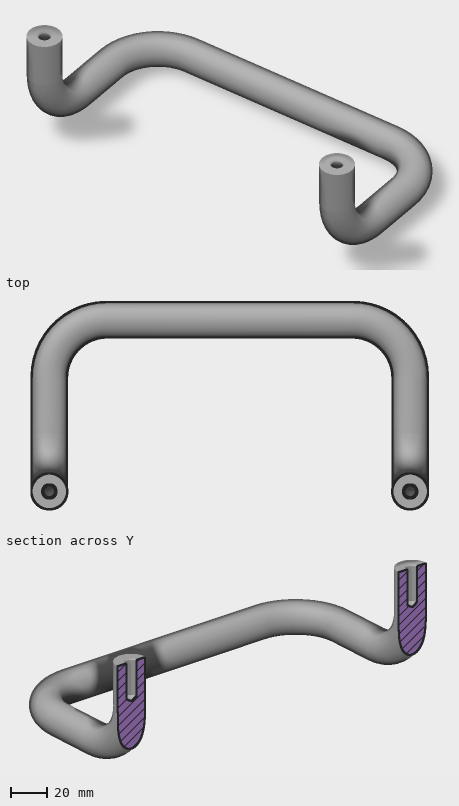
import cadquery as cq
import math

overall_width = 220.0
overall_depth = 115.0
overall_height = 68.0
rod_diameter = 19.8
foot_diameter = 20.0
bend_radius = 32.0

hole_diameter = 6.5
hole_mouth_diameter = 8.0
hole_depth = 22.0
drill_point_angle = 118.0

half_span = (overall_width - foot_diameter) / 2
grip_y = overall_depth - (rod_diameter + foot_diameter) / 2
foot_z = overall_height - rod_diameter / 2
half_grip = half_span - bend_radius
arm_length = grip_y - 2 * bend_radius
foot_length = foot_z - bend_radius
drill_point_depth = hole_diameter / 2 / math.tan(math.radians(drill_point_angle / 2))
hole_chamfer = (hole_mouth_diameter - hole_diameter) / 2


def straight(plane, length, diameter=rod_diameter):
    """Straight rod starting on the plane and running along its normal."""
    return cq.Workplane(plane).circle(diameter / 2).extrude(length)


def bend(plane, axis_start, axis_end):
    """Quarter bend of the rod about an axis given in plane coordinates."""
    return cq.Workplane(plane).circle(rod_diameter / 2).revolve(90, axis_start, axis_end)


def leg():
    """Right leg, from the end of the grip bar to the top of the foot."""
    corner_plane = cq.Plane((half_grip, grip_y, 0), (0, 1, 0), (1, 0, 0))
    corner = bend(corner_plane, (-bend_radius, 0), (-bend_radius, -1))

    arm_plane = cq.Plane((half_span, grip_y - bend_radius, 0), (1, 0, 0), (0, -1, 0))
    arm = straight(arm_plane, arm_length)

    rise_plane = cq.Plane((half_span, bend_radius, 0), (1, 0, 0), (0, -1, 0))
    rise = bend(rise_plane, (0, bend_radius), (-1, bend_radius))

    foot = straight(cq.Plane((half_span, 0, bend_radius)), foot_length, foot_diameter)
    return corner.union(arm).union(rise).union(foot)


def foot_hole():
    """Drilled blind hole with a countersunk mouth and a conical bottom."""
    radius = hole_diameter / 2
    hole_bottom = foot_z - hole_depth
    return (
        cq.Workplane("XZ")
        .moveTo(0, foot_z)
        .lineTo(hole_mouth_diameter / 2, foot_z)
        .lineTo(radius, foot_z - hole_chamfer)
        .lineTo(radius, hole_bottom)
        .lineTo(0, hole_bottom - drill_point_depth)
        .close()
        .revolve(360, (0, 0), (0, 1))
        .translate((half_span, 0, 0))
    )


grip_plane = cq.Plane((-half_grip, grip_y, 0), (0, 1, 0), (1, 0, 0))
grip = straight(grip_plane, 2 * half_grip)
right_leg = leg().cut(foot_hole())
left_leg = right_leg.mirror("YZ")
result = grip.union(right_leg).union(left_leg)